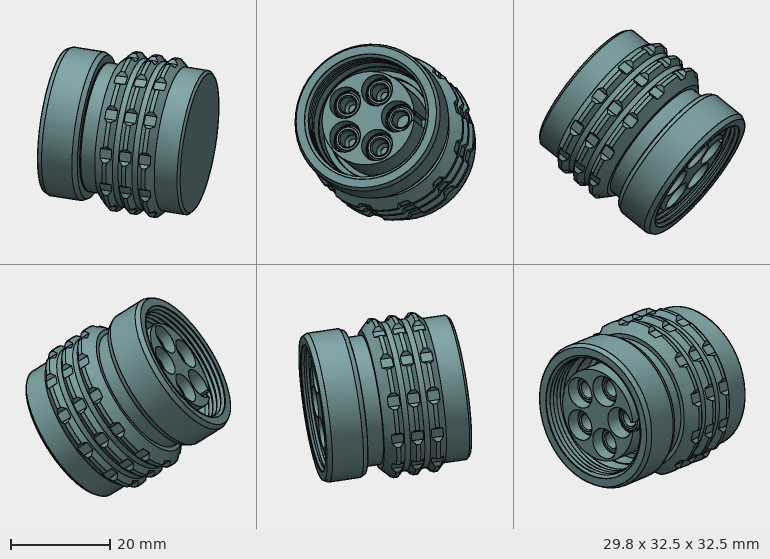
import cadquery as cq

overlap = 0.32

total_length = 29.8
nut_length = 8.37
nut_radius = 15.2
nut_chamfer_length = 1.0
nut_chamfer_height = 0.52
relief_length = 0.25
relief_radius = 13.05
neck_radius = 13.18
grip_start = 11.85
body_radius = 14.75
body_chamfer = 0.52

crest_radius = 16.23
valley_radius = 15.2
grip_start_radius = 14.1
crest_width = 0.85
ring_pitch = 4.1
ring_count = 3
first_ring_x = grip_start + (crest_radius - grip_start_radius) + crest_width / 2
last_ring_x = first_ring_x + (ring_count - 1) * ring_pitch
ring_foot = crest_width / 2 + crest_radius - valley_radius
grip_end = last_ring_x + crest_width / 2 + crest_radius - body_radius

notch_count = 12
notch_floor_radius = 15.45
notch_floor_width = 2.0
notch_flank_rise = 1.62

thread_minor_radius = 12.35
thread_major_radius = 12.85
thread_pitch = 1.0
thread_count = 4
mouth_radius = 12.95
mouth_depth = 0.2
thread_start = 0.65
wall_start_radius = 12.27
wall_end_radius = 11.98
wall_step_x = 6.98
socket_radius = 11.8
socket_depth = 10.4

insert_radius = 9.65
insert_face_x = 1.43
groove_radius = 10.7
groove_depth = 1.95
bridge_width = 1.65
bridge_angles = (0, 45, 90, 180)
keyway_angle = 270
keyway_width = 2.08

key_width = 1.65
key_start = 7.8
key_chamfer = 0.55

contact_count = 5
contact_circle_radius = 5.97
cavity_radius = 3.2
cavity_ledge_depth = 3.25
cavity_inner_radius = 2.95
sleeve_radius = 2.8
sleeve_chamfer = 0.4
sleeve_recess = 1.95
keyed_sleeve_recess = 2.7
sleeve_bore_radius = 1.7
sleeve_bore_chamfer = 0.25
sleeve_bore_depth = 3.9
drill_tip_radius = 1.0


def revolve_about_x(points):
    """Solid of revolution about X from (x, radius) points."""
    return cq.Workplane("XY").polyline(points).close().revolve(360, (0, 0, 0), (1, 0, 0))


def disc(radius, start, end):
    """Cylinder along X between two positions."""
    return cq.Workplane("YZ", origin=(start, 0, 0)).circle(radius).extrude(end - start)


def make_shell():
    """Solid outer body, with 45 degree flanks on the grip rings."""
    points = [
        (0, 0),
        (0, nut_radius - nut_chamfer_height),
        (nut_chamfer_length, nut_radius),
        (nut_length - nut_chamfer_length, nut_radius),
        (nut_length, nut_radius - nut_chamfer_height),
        (nut_length, relief_radius),
        (nut_length + relief_length, relief_radius),
        (nut_length + relief_length, neck_radius),
        (grip_start, neck_radius),
        (grip_start, grip_start_radius),
    ]
    for index in range(ring_count):
        ring_x = first_ring_x + index * ring_pitch
        if index > 0:
            points.append((ring_x - ring_foot, valley_radius))
        points.append((ring_x - crest_width / 2, crest_radius))
        points.append((ring_x + crest_width / 2, crest_radius))
        if index < ring_count - 1:
            points.append((ring_x + ring_foot, valley_radius))
    points += [
        (grip_end, body_radius),
        (total_length - body_chamfer, body_radius),
        (total_length, body_radius - body_chamfer),
        (total_length, 0),
    ]
    return revolve_about_x(points)


def make_notches():
    """Flat-bottomed notches with 90 degree flanks, midway between the lobes."""
    half_floor = notch_floor_width / 2
    flank = notch_flank_rise
    notch = (
        cq.Workplane("YZ", origin=(grip_start, 0, 0))
        .polyline([
            (-half_floor, notch_floor_radius),
            (half_floor, notch_floor_radius),
            (half_floor + flank, notch_floor_radius + flank),
            (-half_floor - flank, notch_floor_radius + flank),
        ])
        .close()
        .extrude(grip_end - grip_start)
    )
    step = 360 / notch_count
    notches = cq.Workplane("XY")
    for index in range(notch_count):
        notches = notches.add(notch.rotate((0, 0, 0), (1, 0, 0), (index + 0.5) * step))
    return notches.combine()


def make_socket():
    """Socket void: mouth, ring-shaped thread grooves, rounded wall, small step and deep bore."""
    points = [(0, 0), (0, mouth_radius), (mouth_depth, mouth_radius), (thread_start, thread_minor_radius)]
    for index in range(thread_count):
        groove_x = thread_start + index * thread_pitch
        points.append((groove_x + thread_pitch / 2, thread_major_radius))
        points.append((groove_x + thread_pitch, thread_minor_radius))

    thread_end = thread_start + thread_count * thread_pitch
    wall_middle = (
        (thread_end + wall_step_x) / 2,
        wall_end_radius + (wall_start_radius - wall_end_radius) / 4,
    )
    return (
        cq.Workplane("XY")
        .polyline(points)
        .lineTo(thread_end, wall_start_radius)
        .threePointArc(wall_middle, (wall_step_x, wall_end_radius))
        .lineTo(wall_step_x, socket_radius)
        .lineTo(socket_depth, socket_radius)
        .lineTo(socket_depth, 0)
        .close()
        .revolve(360, (0, 0, 0), (1, 0, 0))
    )


def make_bridge(width, angle):
    """Radial bar at groove depth; the angle turns it from +Z towards +Y."""
    bar = cq.Workplane("XY").box(groove_depth, width, groove_radius + overlap, centered=(False, True, False))
    return bar.translate((socket_depth, 0, 0)).rotate((0, 0, 0), (1, 0, 0), -angle)


def make_insert_groove():
    """Deeper annular groove around the insert, interrupted by bridges."""
    groove_end = socket_depth + groove_depth
    groove = disc(groove_radius, socket_depth, groove_end).cut(disc(insert_radius, socket_depth, groove_end))
    for angle in bridge_angles:
        groove = groove.cut(make_bridge(bridge_width, angle))
    return groove.cut(make_bridge(keyway_width, keyway_angle))


def make_keyway():
    """Slot from the -Y contact cavity out through the insert wall."""
    keyway_start = contact_circle_radius + sleeve_radius
    keyway = cq.Workplane("XY").box(socket_depth, insert_radius - keyway_start, keyway_width,
                                    centered=(False, False, True))
    return keyway.translate((0, -insert_radius, 0))


def make_key():
    """Rib on the socket wall at -Y, with its inner front edge chamfered."""
    return (
        cq.Workplane("XY", origin=(0, 0, -key_width / 2))
        .polyline([
            (key_start, -socket_radius - overlap),
            (key_start, -groove_radius - key_chamfer),
            (key_start + key_chamfer, -groove_radius),
            (socket_depth + overlap, -groove_radius),
            (socket_depth + overlap, -socket_radius - overlap),
        ])
        .close()
        .extrude(key_width)
    )


def make_contact_cavity(recess):
    """Stepped cavity at -Y with a chamfered contact sleeve standing in it, set back by the recess."""
    sleeve_face = insert_face_x + recess
    ledge_x = insert_face_x + cavity_ledge_depth
    cavity = disc(cavity_radius, insert_face_x, ledge_x).union(disc(cavity_inner_radius, ledge_x, socket_depth))
    sleeve = disc(sleeve_radius, sleeve_face, socket_depth).faces("<X").chamfer(sleeve_chamfer)
    bore = revolve_about_x([
        (sleeve_face, 0),
        (sleeve_face, sleeve_bore_radius + sleeve_bore_chamfer),
        (sleeve_face + sleeve_bore_chamfer, sleeve_bore_radius),
        (sleeve_face + sleeve_bore_depth, sleeve_bore_radius),
        (sleeve_face + sleeve_bore_depth, 0),
    ])
    return cavity.cut(sleeve).union(bore).translate((0, -contact_circle_radius, 0))


def make_drill_tip():
    """Blunt cone closing the bore of a contact sleeve at -Y."""
    start = insert_face_x + sleeve_recess + sleeve_bore_depth
    tip_length = sleeve_bore_radius - drill_tip_radius
    tip = revolve_about_x([
        (start, 0),
        (start, sleeve_bore_radius),
        (start + tip_length, drill_tip_radius),
        (start + tip_length, 0),
    ])
    return tip.translate((0, -contact_circle_radius, 0))


result = make_shell().cut(make_notches()).cut(make_socket())
result = result.union(disc(insert_radius, insert_face_x, socket_depth + overlap))
result = result.cut(make_insert_groove()).cut(make_keyway()).union(make_key())

result = result.cut(make_contact_cavity(keyed_sleeve_recess))
contact_cavity = make_contact_cavity(sleeve_recess).union(make_drill_tip())
for index in range(1, contact_count):
    result = result.cut(contact_cavity.rotate((0, 0, 0), (1, 0, 0), index * 360 / contact_count))